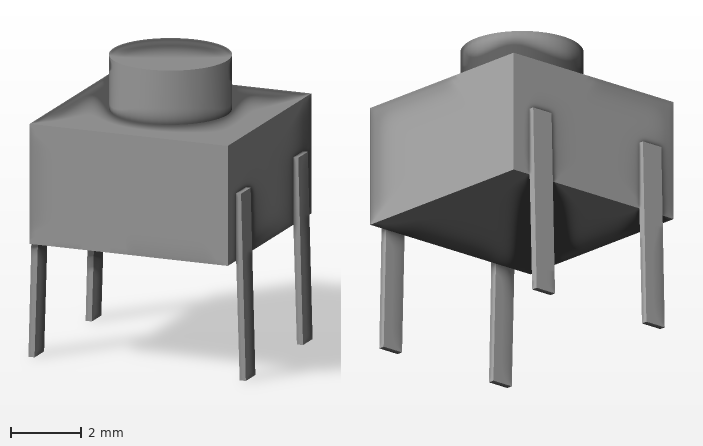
import cadquery as cq

total_height = 8.64
body_side = 6.1
leg_span = 6.7

button_diameter = 3.5
button_height = 1.6

body_height = 3.53
body_top = total_height - button_height
body_bottom = body_top - body_height

leg_width = 0.7
leg_pitch = 4.18
leg_top = 5.495
leg_thickness = 0.19
leg_splay = 0.15
tip_outer_x = leg_span / 2
top_outer_x = tip_outer_x - leg_splay


def make_body():
    return (
        cq.Workplane("XY")
        .workplane(offset=body_bottom)
        .rect(body_side, body_side)
        .extrude(body_height)
    )


def make_button():
    return (
        cq.Workplane("XY")
        .workplane(offset=body_top)
        .circle(button_diameter / 2)
        .extrude(button_height)
    )


def make_leg(side, center_y):
    """Leg on the -X (side = -1) or +X (side = 1) face of the housing."""
    profile = [
        (side * tip_outer_x, 0),
        (side * top_outer_x, leg_top),
        (side * body_side / 2, leg_top),
        (side * body_side / 2, body_bottom),
        (side * (tip_outer_x - leg_thickness), 0),
    ]
    return (
        cq.Workplane("XZ", origin=(0, center_y, 0))
        .polyline(profile)
        .close()
        .extrude(leg_width / 2, both=True)
    )


result = make_body().union(make_button())
for side in (-1, 1):
    for center_y in (-leg_pitch / 2, leg_pitch / 2):
        result = result.union(make_leg(side, center_y))